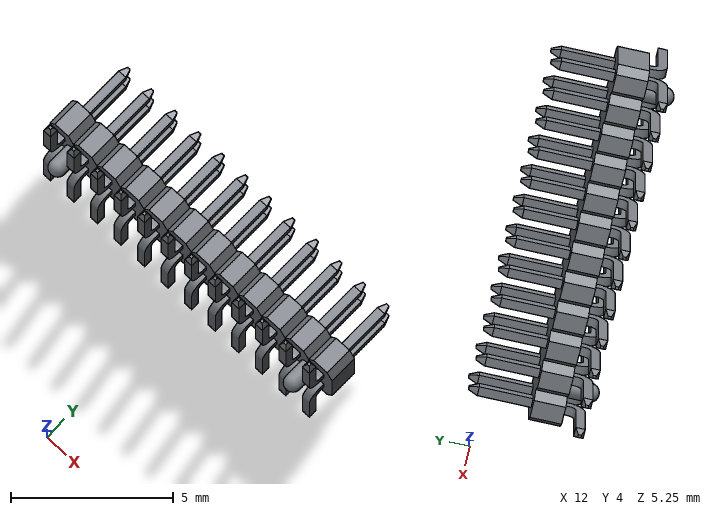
import cadquery as cq
import math

columns = 12
pitch = 1.0
row_offset = pitch / 2

body_length = columns * pitch
body_depth = 1.0
body_height = 2.3
notch_depth = 0.375
notch_angle = 30.0
notch_half_width = notch_depth * math.tan(math.radians(notch_angle))

pin_width = 0.3
pin_projection = 2.0
tail_offset = 0.5
tail_end = 2.625
bend_inner_radius = 0.2
bend_radius = bend_inner_radius + pin_width / 2
tip_length = 0.3
tip_width = 0.1

peg_radius = 0.3
peg_length = 1.0
peg_spacing = (columns - 2) * pitch


def column_x(index):
    """X position of a contact column."""
    return (index - (columns - 1) / 2) * pitch


def make_body():
    """Bar whose top and bottom edges are notched between columns and chamfered at the ends."""
    half_height = body_height / 2
    valley = half_height - notch_depth
    crest_half = pitch / 2 - notch_half_width
    upper_edge = [(-body_length / 2, valley)]
    for index in range(columns):
        x = column_x(index)
        upper_edge.append((x - crest_half, half_height))
        upper_edge.append((x + crest_half, half_height))
        upper_edge.append((x + pitch / 2, valley))
    lower_edge = [(x, -z) for x, z in reversed(upper_edge)]
    return cq.Workplane("XZ").polyline(upper_edge + lower_edge).close().extrude(-body_depth)


def make_tip(base, direction):
    """Square pyramid frustum that points a pin end along the given direction."""
    plane = cq.Plane(origin=base, xDir=(1, 0, 0), normal=direction)
    return (
        cq.Workplane(plane)
        .rect(pin_width, pin_width)
        .workplane(offset=tip_length)
        .rect(tip_width, tip_width)
        .loft(ruled=True)
    )


def make_upper_pin():
    """Upper row pin at x = 0: straight through the body, then bent upward into its tail."""
    shank_end = body_depth + pin_projection - tip_length
    tail_shank_end = tail_end - tip_length
    path = (
        cq.Workplane("YZ")
        .moveTo(shank_end, row_offset)
        .lineTo(bend_radius - tail_offset, row_offset)
        .radiusArc((-tail_offset, row_offset + bend_radius), bend_radius)
        .lineTo(-tail_offset, tail_shank_end)
    )
    start_plane = cq.Plane(origin=(0, shank_end, row_offset), xDir=(1, 0, 0), normal=(0, -1, 0))
    shank = cq.Workplane(start_plane).rect(pin_width, pin_width).sweep(path)
    mating_tip = make_tip((0, shank_end, row_offset), (0, 1, 0))
    tail_tip = make_tip((0, -tail_offset, tail_shank_end), (0, 0, 1))
    return shank.union(mating_tip).union(tail_tip)


def make_peg(x):
    """Cylindrical peg on the front face, ending in a hemisphere."""
    shaft_length = peg_length - peg_radius
    shaft = cq.Workplane("XZ").center(x, 0).circle(peg_radius).extrude(shaft_length)
    dome = cq.Workplane("XY").sphere(peg_radius).translate((x, -shaft_length, 0))
    return shaft.union(dome)


result = make_body()

upper_pin = make_upper_pin()
lower_pin = upper_pin.mirror("XY")
for column in range(columns):
    shift = (column_x(column), 0, 0)
    result = result.union(upper_pin.translate(shift)).union(lower_pin.translate(shift))

for side in (-1, 1):
    result = result.union(make_peg(side * peg_spacing / 2))